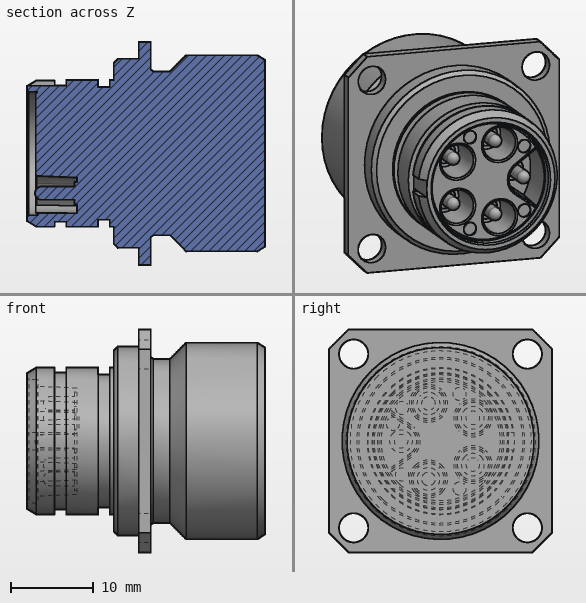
import cadquery as cq
import math

total_length = 28.8
nose_chamfer_length = 1.15
ring_groove_start = 3.4
ring_edge_chamfer = 0.1
ring_groove_end = 4.75
rear_groove_start = 8.6
rear_groove_end = 10.0
boss_start = 10.5
flange_start = 13.5
flange_thickness = 1.5
flange_end = flange_start + flange_thickness
neck_bevel_length = 0.3
neck_start = flange_end + neck_bevel_length
cone_start = 17.3
cone_end = 19.25
end_chamfer_length = 0.95
end_chamfer_depth = 0.6

nose_tip_radius = 8.2
nose_radius = 8.9
ring_groove_radius = 8.3
rear_groove_radius = 8.05
boss_radius = 11.45
boss_chamfer = 0.5
neck_base_radius = 10.15
neck_radius = 9.93
body_radius = 11.9

flange_width = 27.0
flange_corner_chamfer = 2.4
mount_hole_spacing = 21.0
mount_hole_diameter = 3.5

key_slot_width = 2.1
key_slot_floor = nose_tip_radius

bore_radius = 7.45
bore_lip_radius = 7.65
bore_lip_depth = 0.2
insert_face = 1.05
insert_edge_chamfer = 0.25
insert_rim_radius = bore_radius - insert_edge_chamfer

contact_count = 5
contact_pitch_angle = 360 / contact_count
contact_circle_radius = 4.8
first_contact_angle = contact_pitch_angle / 2
earth_contact_index = 2
well_depth = 5.0
well_floor = insert_face + well_depth
well_rim_radius = 2.3
well_mouth_radius = 2.07
well_floor_radius = 1.87
well_bevel_depth = 0.12
earth_side_angle = contact_pitch_angle / 2
pin_radius = 0.82
pin_tip = 1.95
earth_pin_tip = 0.97
pin_collar_radius = 1.37
pin_collar_height = 0.3

label_circle_radius = 6.16
label_radius = 0.8
label_depth = 0.2
label_angles = (68.3, 139.3, -68.3, -139.3)
earth_label_angle = 160.0


def polar(radius, angle):
    """Y, Z position at an angle measured from +Y toward +Z."""
    return radius * math.cos(math.radians(angle)), radius * math.sin(math.radians(angle))


def plane_at(x):
    """Plane across the axis at x, with local axes Y and Z and its normal along +X."""
    return cq.Workplane("YZ", origin=(x, 0, 0))


def disc(x_start, x_end, radius, center=(0, 0)):
    """Cylinder along X."""
    return plane_at(x_start).center(*center).circle(radius).extrude(x_end - x_start)


def frustum(x_start, x_end, start_radius, end_radius, center=(0, 0)):
    """Cone section along X."""
    start = cq.Vector(x_start, *center)
    length = x_end - x_start
    return cq.Workplane(cq.Solid.makeCone(start_radius, end_radius, length, start, cq.Vector(1, 0, 0)))


def make_shell():
    profile = [
        (0, 0),
        (0, nose_tip_radius),
        (nose_chamfer_length, nose_radius),
        (ring_groove_start - ring_edge_chamfer, nose_radius),
        (ring_groove_start, nose_radius - ring_edge_chamfer),
        (ring_groove_start, ring_groove_radius),
        (ring_groove_end, ring_groove_radius),
        (ring_groove_end, nose_radius),
        (rear_groove_start, nose_radius),
        (rear_groove_start, rear_groove_radius),
        (rear_groove_end, rear_groove_radius),
        (rear_groove_end, nose_radius),
        (boss_start, nose_radius),
        (boss_start, boss_radius - boss_chamfer),
        (boss_start + boss_chamfer, boss_radius),
        (flange_end, boss_radius),
        (flange_end, neck_base_radius),
        (neck_start, neck_radius),
        (cone_start, neck_radius),
        (cone_end, body_radius),
        (total_length - end_chamfer_length, body_radius),
        (total_length, body_radius - end_chamfer_depth),
        (total_length, 0),
    ]
    return cq.Workplane("XY").polyline(profile).close().revolve(360, (0, 0, 0), (1, 0, 0))


def make_flange():
    plate = plane_at(flange_start).rect(flange_width, flange_width).extrude(flange_thickness)
    plate = plate.edges("|X").chamfer(flange_corner_chamfer)
    holes = (
        plane_at(flange_start)
        .rect(mount_hole_spacing, mount_hole_spacing, forConstruction=True)
        .vertices()
        .circle(mount_hole_diameter / 2)
        .extrude(flange_thickness)
    )
    return plate.cut(holes)


def make_key_slot():
    slot_height = nose_radius - key_slot_floor
    slot_center = key_slot_floor + slot_height / 2
    return plane_at(0).center(slot_center, 0).rect(slot_height, key_slot_width).extrude(ring_groove_end)


def make_front_bore():
    """Open recess ahead of the insert, with a bevelled lip and a groove round the insert edge."""
    bore = disc(0, insert_face, bore_radius)
    lip = frustum(0, bore_lip_depth, bore_lip_radius, bore_radius)
    edge_gap = disc(insert_face, insert_face + insert_edge_chamfer, bore_radius)
    insert_edge = frustum(insert_face, insert_face + insert_edge_chamfer, insert_rim_radius, bore_radius)
    return bore.union(lip).union(edge_gap.cut(insert_edge))


def make_round_well(center):
    """Tapered well with a bevelled rim."""
    mouth = insert_face + well_bevel_depth
    rim = frustum(insert_face, mouth, well_rim_radius, well_mouth_radius, center)
    shaft = frustum(mouth, well_floor, well_mouth_radius, well_floor_radius, center)
    return rim.union(shaft)


def earth_outline(x, radius):
    """Wire of a round-nosed wedge that opens toward -Y, at station x."""
    nose_y = -contact_circle_radius
    tangent_y = nose_y + radius * math.sin(math.radians(earth_side_angle))
    tangent_z = radius * math.cos(math.radians(earth_side_angle))
    mouth_y = -nose_radius
    mouth_z = tangent_z + (tangent_y - mouth_y) * math.tan(math.radians(earth_side_angle))
    return (
        plane_at(x)
        .moveTo(mouth_y, -mouth_z)
        .lineTo(tangent_y, -tangent_z)
        .threePointArc((nose_y + radius, 0), (tangent_y, tangent_z))
        .lineTo(mouth_y, mouth_z)
        .close()
        .val()
    )


def earth_section(x_start, x_end, start_radius, end_radius):
    wires = [earth_outline(x_start, start_radius), earth_outline(x_end, end_radius)]
    return cq.Workplane(cq.Solid.makeLoft(wires, True))


def make_earth_well():
    """Wedge-shaped well of the earth contact, kept inside the insert."""
    mouth = insert_face + well_bevel_depth
    rim = earth_section(insert_face, mouth, well_rim_radius, well_mouth_radius)
    shaft = earth_section(mouth, well_floor, well_mouth_radius, well_floor_radius)
    limit = disc(insert_face, well_floor, insert_rim_radius)
    return rim.union(shaft).intersect(limit)


def make_pin(center, tip):
    """Round-tipped pin standing on a low collar at the well floor."""
    dome_center = tip + pin_radius
    collar = disc(well_floor - pin_collar_height, well_floor, pin_collar_radius, center)
    shank = disc(dome_center, well_floor, pin_radius, center)
    dome = cq.Workplane("XY").sphere(pin_radius).translate((dome_center, *center))
    return collar.union(shank).union(dome)


def make_label_recess(x, angle):
    return disc(x, x + label_depth, label_radius, polar(label_circle_radius, angle))


result = make_shell().union(make_flange()).cut(make_key_slot()).cut(make_front_bore())

for index in range(contact_count):
    contact_center = polar(contact_circle_radius, first_contact_angle + index * contact_pitch_angle)
    if index == earth_contact_index:
        well = make_earth_well()
        pin = make_pin(contact_center, earth_pin_tip)
    else:
        well = make_round_well(contact_center)
        pin = make_pin(contact_center, pin_tip)
    result = result.cut(well).union(pin)

for label_angle in label_angles:
    result = result.cut(make_label_recess(insert_face, label_angle))
result = result.cut(make_label_recess(well_floor, earth_label_angle))